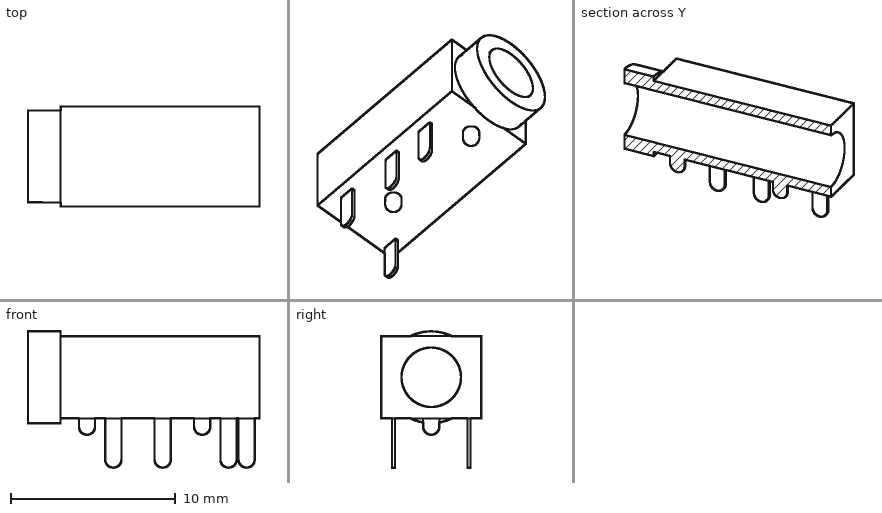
import cadquery as cq

body_length = 12.1
body_width = 6.1
body_height = 5.0

barrel_length = 2.0
barrel_diameter = 5.6
bore_diameter = 3.6
axis_height = body_height / 2

peg_diameter = 1.0
peg_length = 1.0
peg_positions = [1.6, 8.6]

pin_width = 1.0
pin_thickness = 0.2
pin_length = 3.0
pin_row_offset = 2.3
left_row_positions = [3.2, 6.2, 10.2]
right_row_positions = [11.3]


def make_housing():
    """Block with the barrel in front."""
    block = cq.Workplane("XY").box(body_length, body_width, body_height, centered=(False, True, False))
    barrel = (
        cq.Workplane("YZ", origin=(-barrel_length, 0, axis_height))
        .circle(barrel_diameter / 2)
        .extrude(barrel_length)
    )
    return block.union(barrel)


def make_bore():
    """Cylinder that runs the full length of barrel and block."""
    return (
        cq.Workplane("YZ", origin=(-barrel_length, 0, axis_height))
        .circle(bore_diameter / 2)
        .extrude(barrel_length + body_length)
    )


def make_peg(x):
    """Round peg with a hemispherical tip, hanging from the housing floor."""
    radius = peg_diameter / 2
    shank_length = peg_length - radius
    shank = cq.Workplane("XY", origin=(x, 0, 0)).circle(radius).extrude(-shank_length)
    tip = cq.Workplane("XY", origin=(x, 0, -shank_length)).sphere(radius)
    return shank.union(tip)


def make_pin(x, y):
    """Flat pin with a half-round tip, hanging from the housing floor."""
    radius = pin_width / 2
    straight_length = pin_length - radius
    return (
        cq.Workplane("XZ", origin=(x, y, 0))
        .moveTo(-radius, 0)
        .lineTo(-radius, -straight_length)
        .threePointArc((0, -pin_length), (radius, -straight_length))
        .lineTo(radius, 0)
        .close()
        .extrude(pin_thickness / 2, both=True)
    )


result = make_housing().cut(make_bore())
for peg_x in peg_positions:
    result = result.union(make_peg(peg_x))
for pin_x in left_row_positions:
    result = result.union(make_pin(pin_x, pin_row_offset))
for pin_x in right_row_positions:
    result = result.union(make_pin(pin_x, -pin_row_offset))